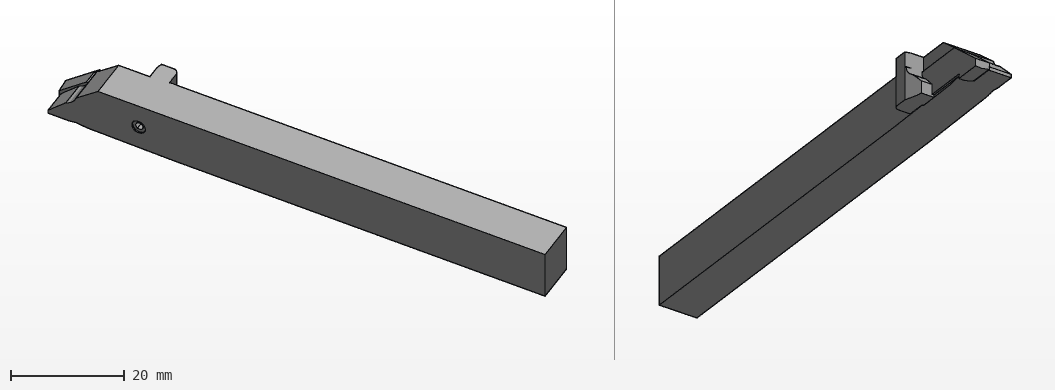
import cadquery as cq

length = 100.0
shank_width = 8.0
shank_height = 10.0
lug_reach = 11.5

nose_x = 0.8
nose_z = 1.1
slope_top_x = 10.8
step_x = 6.4
step_z = 6.5
seat_x = 4.4
seat_z = 4.5
seat_radius = 3.0

nose_base_z = 0.4
relief_start_x = 5.0
relief_peak_x = 6.5
relief_peak_z = 0.6
relief_end_x = 8.6
underside_z = 0.3
underside_end_x = 26.0

insert_front_y = 4.9
insert_back_y = 8.1
insert_base_z = -0.2
insert_tip_z = 1.3
insert_tip_end_x = 5.3
insert_under_z = 0.7
insert_top_x = 6.7
insert_top_z = 6.8
body_top_z = 6.1
insert_side_taper = 0.4
base_bevel_y = 6.8
base_bevel_z = 0.3
head_back_y = 7.7

finger_x = 13.7
finger_z = 2.7
finger_root_x = 15.7
finger_root_z = 4.8
lug_x = 17.0
lug_fillet_top_z = 6.9
lug_fillet_radius = 2.2
lug_end_x = 20.8
lug_base_z = 0.2
lug_shoulder_y = 10.4
bevel_start_x = 14.8
bevel_start_y = 10.6
lug_tip_start_x = 17.3
lug_corner = lug_reach - lug_shoulder_y

screw_x = 18.9
screw_z = 5.0
head_diameter = 2.7
head_recess = 0.3
socket_diameter = 1.6
socket_depth = 1.5


def extrude_y(profile, front_y, back_y):
    """Extrude a closed XZ profile from front_y to back_y."""
    return profile.extrude(front_y - back_y).translate((0, front_y, 0))


def make_holder():
    profile = (
        cq.Workplane("XZ")
        .moveTo(nose_x, nose_base_z)
        .lineTo(nose_x, nose_z)
        .lineTo(seat_x, seat_z)
        .radiusArc((step_x, step_z), -seat_radius)
        .lineTo(slope_top_x, shank_height)
        .lineTo(length, shank_height)
        .lineTo(length, 0)
        .lineTo(underside_end_x, 0)
        .lineTo(relief_end_x, underside_z)
        .lineTo(relief_peak_x, relief_peak_z)
        .lineTo(relief_start_x, nose_base_z)
        .close()
    )
    holder = extrude_y(profile, 0, shank_width)
    head_trim = cq.Workplane("XY").box(
        lug_x, shank_width - head_back_y, shank_height, centered=False
    ).translate((0, head_back_y, 0))
    return holder.cut(head_trim)


def make_insert():
    profile = (
        cq.Workplane("XZ")
        .moveTo(0, insert_base_z)
        .lineTo(0, insert_tip_z)
        .lineTo(insert_top_x, insert_top_z)
        .lineTo(lug_x, insert_top_z)
        .lineTo(lug_x, insert_under_z)
        .lineTo(insert_tip_end_x, insert_under_z)
        .lineTo(insert_tip_end_x, insert_base_z)
        .close()
    )
    insert = extrude_y(profile, insert_front_y, insert_back_y)
    tip_relief = (
        cq.Workplane("XY", origin=(0, 0, insert_base_z))
        .moveTo(0, insert_front_y)
        .lineTo(0, insert_back_y)
        .lineTo(insert_side_taper, insert_front_y)
        .close()
        .extrude(shank_height)
    )
    base_bevel = (
        cq.Workplane("YZ")
        .moveTo(insert_front_y, insert_base_z)
        .lineTo(base_bevel_y, insert_base_z)
        .lineTo(insert_front_y, base_bevel_z)
        .close()
        .extrude(insert_tip_end_x)
    )
    top_trim = cq.Workplane("XY").box(
        lug_x, head_back_y - insert_front_y, insert_top_z - body_top_z, centered=False
    ).translate((0, insert_front_y, body_top_z))
    return insert.cut(tip_relief).cut(base_bevel).cut(top_trim)


def make_lug():
    plan = (
        cq.Workplane("XY", origin=(0, 0, lug_base_z))
        .moveTo(finger_x, head_back_y)
        .lineTo(finger_x, lug_shoulder_y)
        .lineTo(bevel_start_x, bevel_start_y)
        .lineTo(lug_tip_start_x, lug_reach)
        .lineTo(lug_end_x - lug_corner, lug_reach)
        .radiusArc((lug_end_x, lug_shoulder_y), lug_corner)
        .lineTo(lug_end_x, head_back_y)
        .close()
        .extrude(shank_height - lug_base_z)
    )
    side_profile = (
        cq.Workplane("XZ")
        .moveTo(finger_x, lug_base_z)
        .lineTo(finger_x, finger_z)
        .lineTo(finger_root_x, finger_root_z)
        .radiusArc((lug_x, lug_fillet_top_z), -lug_fillet_radius)
        .lineTo(lug_x, shank_height)
        .lineTo(lug_end_x, shank_height)
        .lineTo(lug_end_x, lug_base_z)
        .close()
    )
    lug = plan.intersect(extrude_y(side_profile, head_back_y, lug_reach))
    chamfer = (
        cq.Workplane("XY", origin=(0, 0, lug_fillet_top_z))
        .moveTo(lug_x, lug_shoulder_y)
        .lineTo(lug_x, lug_reach)
        .lineTo(lug_tip_start_x, lug_reach)
        .close()
        .extrude(shank_height - lug_fillet_top_z)
    )
    return lug.cut(chamfer)


def make_screw_recess():
    front = cq.Workplane("XZ").center(screw_x, screw_z)
    head = front.circle(head_diameter / 2).extrude(-head_recess)
    socket = front.polygon(6, socket_diameter).extrude(-socket_depth)
    return head.union(socket)


result = make_holder().union(make_insert()).union(make_lug()).cut(make_screw_recess())